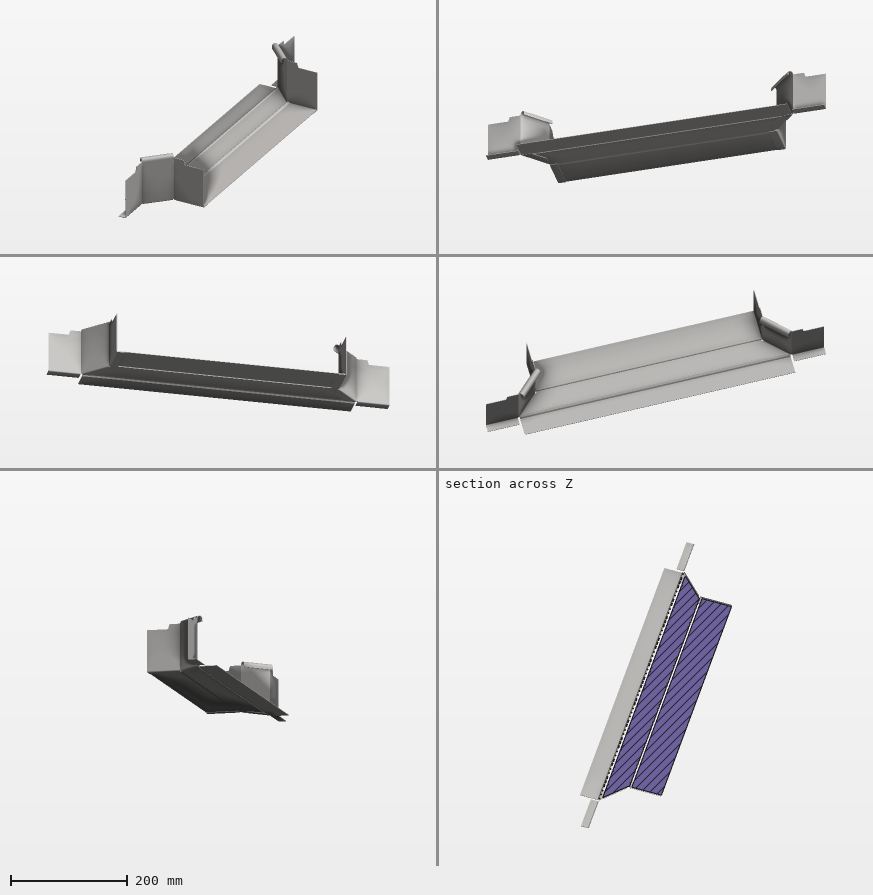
import cadquery as cq
import math

TOTAL_WIDTH = 133.5
TOTAL_LENGTH = 599.2
TOTAL_HEIGHT = 89.45
SHEET = 1.0
COS_45 = math.sqrt(0.5)

FLOOR_RISE = 2.5
TRAY_HALF_LENGTH = 239.5
STEP_X = 31.5
FRONT_RIDGE_X = 36.9
BACK_RIDGE_X = 77.7
RIDGE_RADIUS = 2.5
RIDGE_SLOPE_RUN = 3.7
RIDGE_TOP = FLOOR_RISE + SHEET / 2 + RIDGE_RADIUS
RIDGE_FOOT = FLOOR_RISE + SHEET

OUTER_WALL_X = 35.0
INNER_WALL_Y = 202.0
DIAGONAL_RUN = 40.0
WALL_TOP = 83.7
LOW_WALL_TOP = 75.0
HIGH_WALL_LENGTH = 19.0
NOTCH_SLANT = 2.5

FLANGE_BOTTOM = FLOOR_RISE - SHEET
FLANGE_WIDTH = 14.3
BEND_RADIUS = 2.0
BEND_TOP = FLANGE_BOTTOM + BEND_RADIUS
TRAY_CLEARANCE = 0.5
FLANGE_SETBACK = 1.2

CURL_RADIUS = TOTAL_HEIGHT - WALL_TOP
CURL_LIP = 4.0

OUTER_END = (OUTER_WALL_X, -TOTAL_LENGTH / 2)
OUTER_CORNER = (OUTER_WALL_X, -INNER_WALL_Y - DIAGONAL_RUN)
INNER_CORNER = (OUTER_WALL_X + DIAGONAL_RUN, -INNER_WALL_Y)
INNER_END = (TOTAL_WIDTH, -INNER_WALL_Y)
WALL_PATH = [OUTER_END, OUTER_CORNER, INNER_CORNER, INNER_END]


def inset_path(path, distance):
    """Mitred copy of an open path, moved to its left by the distance."""
    angles = [math.atan2(b[1] - a[1], b[0] - a[0]) for a, b in zip(path, path[1:])]
    moved = []
    for (x, y), before, after in zip(path, angles[:1] + angles, angles + angles[-1:]):
        middle = (before + after) / 2
        reach = distance / math.cos((after - before) / 2)
        moved.append((x - reach * math.sin(middle), y + reach * math.cos(middle)))
    return moved


def tray_face(section, inset):
    """Continue a sketch along one face of the tray section, inset from the top face, to the back edge."""
    ridge_radius = RIDGE_RADIUS - inset
    diagonal = ridge_radius * COS_45
    ridge_centre = RIDGE_TOP - RIDGE_RADIUS
    floor = RIDGE_FOOT - inset
    return (
        section
        .lineTo(STEP_X, SHEET - inset)
        .lineTo(FRONT_RIDGE_X - RIDGE_SLOPE_RUN, RIDGE_FOOT - inset)
        .lineTo(FRONT_RIDGE_X, RIDGE_TOP - inset)
        .threePointArc(
            (FRONT_RIDGE_X + diagonal, ridge_centre + diagonal),
            (FRONT_RIDGE_X + ridge_radius, ridge_centre),
        )
        .lineTo(FRONT_RIDGE_X + ridge_radius, floor)
        .lineTo(BACK_RIDGE_X - ridge_radius, floor)
        .lineTo(BACK_RIDGE_X - ridge_radius, ridge_centre)
        .threePointArc(
            (BACK_RIDGE_X - diagonal, ridge_centre + diagonal),
            (BACK_RIDGE_X, RIDGE_TOP - inset),
        )
        .lineTo(BACK_RIDGE_X + RIDGE_SLOPE_RUN, floor)
        .lineTo(TOTAL_WIDTH, floor)
    )


def make_tray():
    def solid_under(inset):
        """Block filling everything below one face of the tray section."""
        section = tray_face(cq.Workplane("XZ").moveTo(0, SHEET - inset), inset)
        base = -2 * SHEET
        section = section.lineTo(TOTAL_WIDTH, base).lineTo(0, base).close()
        return section.extrude(TRAY_HALF_LENGTH, both=True)

    sheet = solid_under(0).cut(solid_under(SHEET))
    _, corner, back_end = inset_path(WALL_PATH[1:], BEND_RADIUS + TRAY_CLEARANCE)
    diagonal_run = corner[1] + TRAY_HALF_LENGTH
    slope_start = (corner[0] - diagonal_run, -TRAY_HALF_LENGTH)
    edge = [(0, -TRAY_HALF_LENGTH), slope_start, corner, back_end]
    outline = edge + [(x, -y) for x, y in reversed(edge)]
    return sheet.intersect(cq.Workplane("XY").polyline(outline).close().extrude(TOTAL_HEIGHT))


def wall_section(start, end, setback):
    """Workplane across a wall at a setback from its start: x toward the flange, y up."""
    along = (end[0] - start[0], end[1] - start[1], 0)
    plane = cq.Plane((*start, 0), xDir=(-along[1], along[0], 0), normal=along)
    return cq.Workplane(plane).workplane(offset=setback)


def make_flange(start, end, start_setback, end_setback):
    inside_radius = BEND_RADIUS - SHEET
    outer_mid = BEND_RADIUS * (1 - COS_45)
    inner_mid = BEND_RADIUS - inside_radius * COS_45
    return (
        wall_section(start, end, start_setback)
        .moveTo(0, BEND_TOP)
        .threePointArc((outer_mid, FLANGE_BOTTOM + outer_mid), (BEND_RADIUS, FLANGE_BOTTOM))
        .lineTo(FLANGE_WIDTH, FLANGE_BOTTOM)
        .lineTo(FLANGE_WIDTH, FLANGE_BOTTOM + SHEET)
        .lineTo(BEND_RADIUS, FLANGE_BOTTOM + SHEET)
        .threePointArc((inner_mid, FLANGE_BOTTOM + inner_mid), (SHEET, BEND_TOP))
        .close()
        .extrude(math.dist(start, end) - start_setback - end_setback)
    )


def make_diagonal_flange():
    """Flange of the diagonal wall, its ends tapered at 45 degrees to stay clear of the front ridge."""
    flange = make_flange(OUTER_CORNER, INNER_CORNER, FLANGE_SETBACK, FLANGE_SETBACK)
    wall_length = math.dist(OUTER_CORNER, INNER_CORNER)
    taper_start = FLANGE_SETBACK - BEND_RADIUS
    taper_end = FLANGE_SETBACK + FLANGE_WIDTH - BEND_RADIUS
    plan = [
        (0, taper_start),
        (FLANGE_WIDTH, taper_end),
        (FLANGE_WIDTH, wall_length - taper_end),
        (0, wall_length - taper_start),
    ]
    along = (INNER_CORNER[0] - OUTER_CORNER[0], INNER_CORNER[1] - OUTER_CORNER[1], 0)
    plane = cq.Plane((*OUTER_CORNER, 0), xDir=(-along[1], along[0], 0), normal=(0, 0, -1))
    return flange.intersect(cq.Workplane(plane).polyline(plan).close().extrude(-WALL_TOP))


def make_curl():
    width = 2 * CURL_RADIUS
    return (
        wall_section(OUTER_CORNER, INNER_CORNER, 0)
        .moveTo(0, WALL_TOP)
        .threePointArc((CURL_RADIUS, TOTAL_HEIGHT), (width, WALL_TOP))
        .lineTo(width, WALL_TOP - CURL_LIP)
        .lineTo(width - SHEET, WALL_TOP - CURL_LIP)
        .lineTo(width - SHEET, WALL_TOP)
        .threePointArc((CURL_RADIUS, TOTAL_HEIGHT - SHEET), (SHEET, WALL_TOP))
        .close()
        .extrude(math.dist(OUTER_CORNER, INNER_CORNER))
    )


def make_notch(corner, end):
    """Material removed above the low part of an end wall."""
    along = (end[0] - corner[0], end[1] - corner[1], 0)
    plane = cq.Plane((*corner, 0), xDir=along, normal=(along[1], -along[0], 0))
    wall_length = math.dist(corner, end)
    outline = [
        (HIGH_WALL_LENGTH, WALL_TOP),
        (HIGH_WALL_LENGTH + NOTCH_SLANT, LOW_WALL_TOP),
        (wall_length, LOW_WALL_TOP),
        (wall_length, WALL_TOP),
    ]
    return cq.Workplane(plane).polyline(outline).close().extrude(2 * SHEET, both=True)


def make_bracket():
    plan = WALL_PATH + inset_path(WALL_PATH, SHEET)[::-1]
    bracket = (
        cq.Workplane("XY", origin=(0, 0, BEND_TOP))
        .polyline(plan)
        .close()
        .extrude(WALL_TOP - BEND_TOP)
    )
    for corner, end in [(OUTER_CORNER, OUTER_END), (INNER_CORNER, INNER_END)]:
        bracket = bracket.cut(make_notch(corner, end))
    bracket = bracket.union(make_flange(OUTER_END, OUTER_CORNER, 0, FLANGE_SETBACK))
    bracket = bracket.union(make_diagonal_flange())
    bracket = bracket.union(make_flange(INNER_CORNER, INNER_END, FLANGE_SETBACK, 0))
    return bracket.union(make_curl())


tray = make_tray()
front_bracket = make_bracket()
brackets = [front_bracket, front_bracket.mirror("XZ")]

result = cq.Compound.makeCompound([tray.val(), *[bracket.val() for bracket in brackets]])